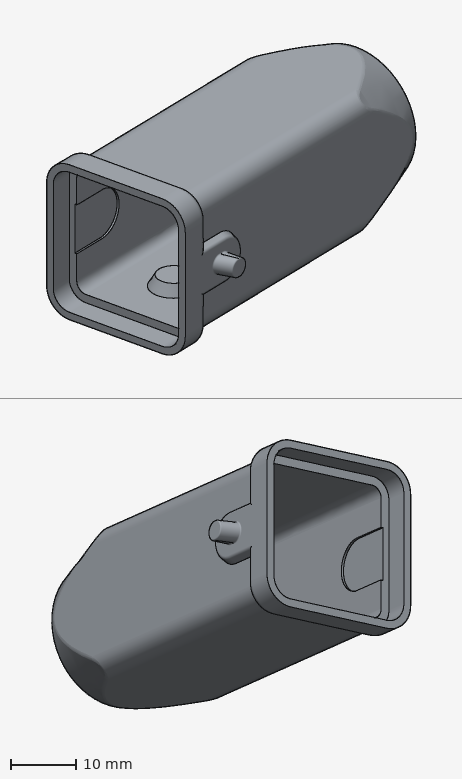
import cadquery as cq
import math

length = 60.0

body_width = 24.2
body_corner_radius = 3.1
flange_width = 27.0
flange_corner_radius = 4.5
flange_step = (flange_width - body_width) / 2
flange_straight_length = 4.0
flange_length = flange_straight_length + flange_step
flange_land = 0.02
flange_rounding = flange_step - flange_land

nose_end_radius = 11.72
nose_half_angle = 17.6
nose_edge_rounding = 1.0

mouth_width = 24.4
mouth_corner_radius = flange_corner_radius - (flange_width - mouth_width) / 2
mouth_depth = 4.0
cavity_width = 21.5
cavity_end_width = 21.1
cavity_corner_radius = 1.8
cavity_end = 48.0
cable_hole_diameter = 15.0

tongue_radius = 4.25
tongue_center = 10.3
tongue_draft = 22.0
tongue_rounding = 0.6
relief_half_span = 11.1

pin_span = 33.4
pin_diameter = 3.2
pin_center = 9.5
pin_root_shift = 1.0
pin_tip_shift = 0.1
pin_rounding = 0.2

boss_base_radius = 4.1
boss_top_radius = 2.9
boss_height = 2.0
boss_center = 14.5


def square_bar(width, corner_radius, start, end, taper=0.0):
    """Round-cornered square bar along +Y, narrowing by the taper angle."""
    section = cq.Sketch().rect(width, width).vertices().fillet(corner_radius)
    plane = cq.Workplane(cq.Plane((0, start, 0), xDir=(1, 0, 0), normal=(0, 1, 0)))
    return plane.placeSketch(section).extrude(end - start, taper=taper)


def side_plane(x):
    """Plane at the given X, facing -X, with local x along Y."""
    return cq.Workplane(cq.Plane((x, 0, 0), xDir=(0, 1, 0), normal=(-1, 0, 0)))


def arched_outline(plane, start):
    """Outline running from Y = start to a half circle around the tongue centre."""
    return (
        plane.moveTo(start, -tongue_radius)
        .lineTo(tongue_center, -tongue_radius)
        .threePointArc((tongue_center + tongue_radius, 0), (tongue_center, tongue_radius))
        .lineTo(start, tongue_radius)
        .close()
    )


def both_sides(solid):
    """The solid together with its mirror image across the YZ plane."""
    return solid.union(solid.mirror("YZ"))


def make_body():
    body = square_bar(body_width, body_corner_radius, 0, length)
    start_radius = nose_end_radius + length * math.tan(math.radians(nose_half_angle))
    nose_cone = cq.Workplane(cq.Solid.makeCone(
        start_radius, nose_end_radius, length, cq.Vector(0, 0, 0), cq.Vector(0, 1, 0)))
    body = body.intersect(nose_cone)
    return body.faces("%CONE").edges("not %CIRCLE").fillet(nose_edge_rounding)


def make_flange():
    flange = square_bar(flange_width, flange_corner_radius, 0, flange_length)
    return flange.faces(">Y").edges().fillet(flange_rounding)


def pin_bar(root_shift, tip_shift):
    """Round bar along -X, its two ends shifted along -Y from the pin centre."""
    root = side_plane(-flange_width / 2).center(pin_center - root_shift, 0)
    tip = side_plane(-pin_span / 2).center(pin_center - tip_shift, 0)
    ends = [plane.circle(pin_diameter / 2).wire().val() for plane in (root, tip)]
    return cq.Workplane(cq.Solid.makeLoft(ends, True))


def make_pin():
    pin = pin_bar(0, 0).union(pin_bar(pin_root_shift, pin_tip_shift))
    return pin.faces("<X").edges().fillet(pin_rounding)


def make_tongues_with_pins():
    tongue_start = 2.0
    tongue = arched_outline(side_plane(-body_width / 2), tongue_start)
    tongue = tongue.extrude(flange_step, taper=tongue_draft)
    tongue = tongue.faces("<X").edges("not <Y").fillet(tongue_rounding)
    tongue = tongue.union(make_pin())
    root_x = -flange_width / 2
    margin = 0.01
    half_height = pin_diameter / 2 + margin
    pin_root = cq.selectors.BoxSelector(
        (root_x - margin, pin_center - pin_diameter, -half_height),
        (root_x + margin, pin_center + pin_diameter, half_height),
    )
    tongue = tongue.edges(pin_root).fillet(pin_rounding)
    return both_sides(tongue)


def make_cavity():
    mouth = square_bar(mouth_width, mouth_corner_radius, 0, mouth_depth)
    narrowing = (cavity_width - cavity_end_width) / 2
    draft = math.degrees(math.atan(narrowing / (cavity_end - mouth_depth)))
    cavity = square_bar(cavity_width, cavity_corner_radius, mouth_depth, cavity_end, draft)
    relief_depth = relief_half_span - cavity_end_width / 2
    relief = arched_outline(side_plane(-cavity_end_width / 2), mouth_depth)
    reliefs = both_sides(relief.extrude(relief_depth))
    cable_hole = cq.Workplane(cq.Solid.makeCylinder(
        cable_hole_diameter / 2, length, cq.Vector(0, 0, 0), cq.Vector(0, 1, 0)))
    return mouth.union(cavity).union(reliefs).union(cable_hole)


def make_boss():
    wall_overlap = 0.3
    start_z = -cavity_width / 2 - wall_overlap
    slope = (boss_base_radius - boss_top_radius) / boss_height
    return cq.Workplane(cq.Solid.makeCone(
        boss_base_radius + slope * wall_overlap, boss_top_radius, boss_height + wall_overlap,
        cq.Vector(0, boss_center, start_z), cq.Vector(0, 0, 1)))


hood = make_body().union(make_flange()).union(make_tongues_with_pins())
result = hood.cut(make_cavity()).union(make_boss())